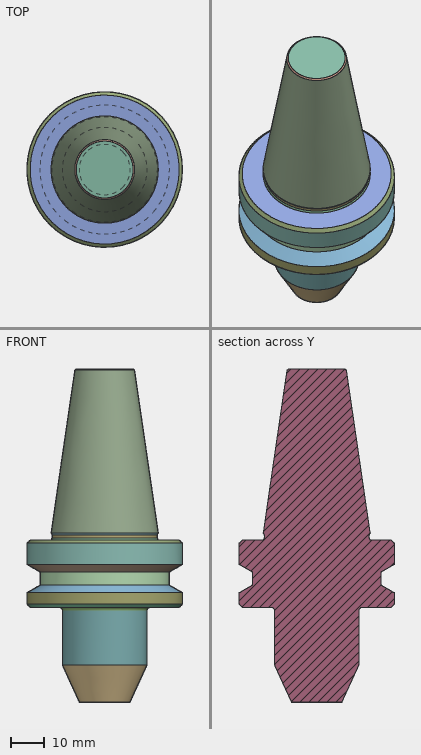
import cadquery as cq
import math

total_length = 98.4

nose_tip_radius = 7.5
neck_radius = 12.5
nose_cone_height = 10.9
neck_fillet = 1.0

flange_radius = 22.98
flange_bottom = 27.9
flange_top = 47.9
flange_chamfer = 1.0
groove_floor_radius = 19.1
groove_middle = 36.5
groove_floor_width = 3.8
groove_side_angle = 30.0

taper_base = 50.0
taper_base_radius = 15.8
taper_per_length = 7 / 24
taper_tip_chamfer = 0.4

relief_depth = 0.3
relief_shoulder_height = 0.6

floor_half = groove_floor_width / 2
groove_depth = flange_radius - groove_floor_radius
mouth_half = floor_half + groove_depth * math.tan(math.radians(groove_side_angle))

relief_radius = taper_base_radius - relief_depth
taper_length = total_length - taper_base
taper_tip_radius = taper_base_radius - taper_length * taper_per_length / 2
chamfer_start_radius = taper_tip_radius + taper_tip_chamfer * taper_per_length / 2

nose = (
    cq.Workplane("XZ")
    .lineTo(nose_tip_radius, 0)
    .lineTo(neck_radius, nose_cone_height)
    .lineTo(neck_radius, flange_bottom - neck_fillet)
    .radiusArc((neck_radius + neck_fillet, flange_bottom), neck_fillet)
)
flange = (
    nose.lineTo(flange_radius - flange_chamfer, flange_bottom)
    .lineTo(flange_radius, flange_bottom + flange_chamfer)
    .lineTo(flange_radius, groove_middle - mouth_half)
    .lineTo(groove_floor_radius, groove_middle - floor_half)
    .lineTo(groove_floor_radius, groove_middle + floor_half)
    .lineTo(flange_radius, groove_middle + mouth_half)
    .lineTo(flange_radius, flange_top - flange_chamfer)
    .lineTo(flange_radius - flange_chamfer, flange_top)
)
relief = (
    flange.lineTo(taper_base_radius, flange_top)
    .lineTo(relief_radius, flange_top + relief_shoulder_height)
    .lineTo(relief_radius, taper_base - relief_shoulder_height)
    .lineTo(taper_base_radius, taper_base)
)
half_section = (
    relief.lineTo(chamfer_start_radius, total_length - taper_tip_chamfer)
    .lineTo(taper_tip_radius - taper_tip_chamfer, total_length)
    .lineTo(0, total_length)
    .close()
)

result = half_section.revolve(360, (0, 0, 0), (0, 1, 0))